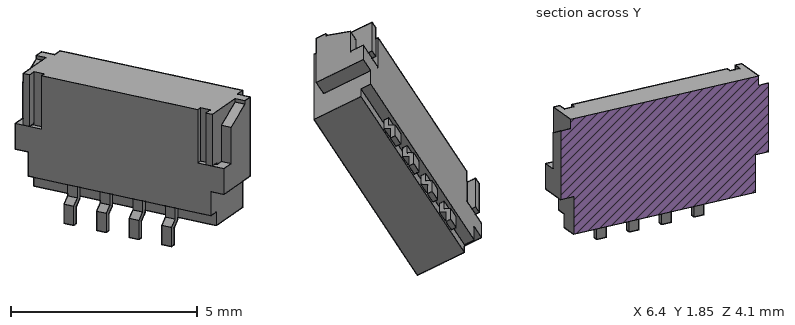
import cadquery as cq


overall_width = 6.4
overall_depth = 1.85
overall_height = 4.1

body_width = 5.6
body_depth = 1.75
body_height = 3.4
base_depth = 1.45
front_height = 3.0

ear_height = 2.3
ear_setback = 0.3

recess_height = 1.55
recess_width = 0.3
notch_start = 0.6
notch_lip = 0.1
slope_bottom = 0.5
notch_front = 1.35
pocket_depth = 0.15
pocket_reach = 0.8

rail_width = 0.2
rail_height = 1.5

tail_count = 4
tail_pitch = 1.0
tail_width = 0.3
tail_thickness = 0.15
tail_back = 1.5
bend_height = 0.17
bend_front_top = 0.73
bend_back_top = 0.66

top = overall_height
half_width = overall_width / 2
body_bottom = top - body_height
step_bottom = top - front_height
recess_floor = top - recess_height
pocket_back = body_depth - pocket_depth


def block(x_min, x_max, depth_min, depth_max, z_min, z_max):
    """Box whose depths are measured forward from the back face."""
    return cq.Workplane("XY").box(
        x_max - x_min, depth_max - depth_min, z_max - z_min, centered=False
    ).translate((x_min, -depth_max, z_min))


def side_prism(profile, x_min, x_max):
    """Extrude a (depth, Z) profile along X."""
    points = [(-depth, z) for depth, z in profile]
    return (
        cq.Workplane("YZ", origin=(x_min, 0, 0))
        .polyline(points)
        .close()
        .extrude(x_max - x_min)
    )


def both_ends(shape):
    """Join a shape at the -X end with its mirror image at the +X end."""
    return shape.union(shape.mirror("YZ"))


def make_body():
    half_body = body_width / 2
    front = block(-half_body, half_body, 0, body_depth, step_bottom, top)
    base = block(-half_body, half_body, 0, base_depth, body_bottom, top)
    ears = block(-half_width, half_width, ear_setback, body_depth, top - ear_height, top)
    return front.union(base).union(ears)


def make_end_recess():
    notch = side_prism(
        [
            (notch_start, top),
            (notch_start, top - notch_lip),
            (notch_front, top - slope_bottom),
            (notch_front, recess_floor),
            (overall_depth, recess_floor),
            (overall_depth, top),
        ],
        -half_width,
        -half_width + recess_width,
    )
    pocket = block(
        -half_width, -half_width + pocket_reach, pocket_back, body_depth, recess_floor, top
    )
    return notch.union(pocket)


def make_rail():
    rail_left = -half_width + recess_width
    return block(
        rail_left, rail_left + rail_width, pocket_back, overall_depth, top - rail_height, top
    )


def make_tail(x_center):
    upper_front = tail_back + tail_thickness
    foot_back = overall_depth - tail_thickness
    return side_prism(
        [
            (tail_back, step_bottom),
            (upper_front, step_bottom),
            (upper_front, bend_front_top),
            (overall_depth, bend_front_top - bend_height),
            (overall_depth, 0),
            (foot_back, 0),
            (foot_back, bend_back_top - bend_height),
            (tail_back, bend_back_top),
        ],
        x_center - tail_width / 2,
        x_center + tail_width / 2,
    )


result = make_body().cut(both_ends(make_end_recess())).union(both_ends(make_rail()))
for index in range(tail_count):
    tail_x = (index - (tail_count - 1) / 2) * tail_pitch
    result = result.union(make_tail(tail_x))